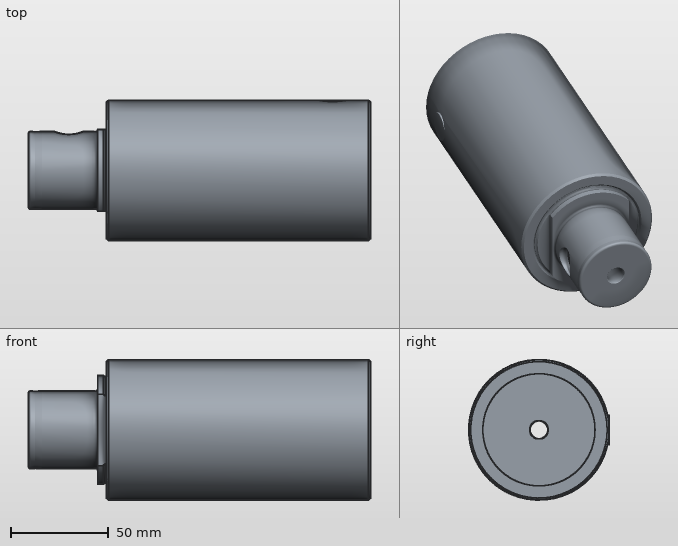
import cadquery as cq
import math

overall_length = 175.0

sleeve_diameter = 72.0
sleeve_radius = sleeve_diameter / 2
sleeve_start = 39.9
sleeve_chamfer = 1.0
bore_chamfer = 1.0

pad_radius = 7.5
pad_x = 155.5

shank_radius = 20.0
shank_round = 1.2
groove_start = shank_round
groove_bottom = 3.3
groove_end = 7.0
groove_depth = 0.2

collar_start = 35.4
collar_radius = 27.8
flat_half_width = 21.0
flat_end = 39.7

shank_relief_length = 1.0
shank_relief_depth = 0.2
shank_relief_round = 1.0
collar_relief_length = 1.0
collar_relief_depth = 0.5
collar_relief_round = 1.4
seat_face = 40.6

bore_radius = collar_radius - collar_relief_depth + collar_relief_round

axial_hole_radius = 4.5
axial_hole_chamfer = 0.4
dimple_radius = 7.5
dimple_x = 20.6
dimple_depth = 4.4


def x_cylinder(radius, start, end):
    """Solid cylinder on the X axis."""
    return cq.Workplane("YZ").workplane(offset=start).circle(radius).extrude(end - start)


def y_cylinder(radius, x, y_start, y_end):
    """Solid cylinder parallel to Y, centred at the given X."""
    plane = cq.Plane(origin=(x, y_start, 0), xDir=(1, 0, 0), normal=(0, 1, 0))
    return cq.Workplane(plane).circle(radius).extrude(y_end - y_start)


def add_undercut(profile, face_x, radius, relief_length, relief_depth, round_radius):
    """Continue a half profile along +X through a relief and a concave round that ends on face_x."""
    round_start = face_x - round_radius
    floor_radius = radius - relief_depth
    diagonal = round_radius * math.sqrt(0.5)
    return (
        profile.lineTo(round_start - relief_length, radius)
        .lineTo(round_start, floor_radius)
        .threePointArc(
            (round_start + diagonal, floor_radius + round_radius - diagonal),
            (face_x, floor_radius + round_radius),
        )
    )


def shaft_blank():
    """Turned shape of the shaft, revolved about X."""
    corner = shank_round * (1 - math.sqrt(0.5))
    profile = (
        cq.Workplane("XY")
        .moveTo(0, 0)
        .lineTo(0, shank_radius - shank_round)
        .threePointArc((corner, shank_radius - corner), (groove_start, shank_radius))
        .lineTo(groove_bottom, shank_radius - groove_depth)
        .lineTo(groove_end, shank_radius)
    )
    profile = add_undercut(
        profile, collar_start, shank_radius, shank_relief_length, shank_relief_depth, shank_relief_round
    )
    profile = profile.lineTo(collar_start, collar_radius)
    profile = add_undercut(
        profile, seat_face, collar_radius, collar_relief_length, collar_relief_depth, collar_relief_round
    )
    profile = profile.lineTo(overall_length, bore_radius)
    return profile.lineTo(overall_length, 0).close().revolve(360, (0, 0, 0), (1, 0, 0))


def wrench_flat(side):
    """Stock removed beside the collar, on the +Y (side = 1) or -Y (side = -1) side."""
    flat_length = flat_end - collar_start
    cut_width = collar_radius - flat_half_width
    return cq.Workplane("XY").box(flat_length, cut_width, 2 * collar_radius).translate(
        (collar_start + flat_length / 2, side * (flat_half_width + cut_width / 2), 0)
    )


def axial_hole():
    """Through hole on the X axis with a countersunk mouth at the shank end."""
    mouth_radius = axial_hole_radius + axial_hole_chamfer
    mouth = cq.Solid.makeCone(
        mouth_radius, axial_hole_radius, axial_hole_chamfer, cq.Vector(0, 0, 0), cq.Vector(1, 0, 0)
    )
    return x_cylinder(axial_hole_radius, 0, overall_length).union(cq.Workplane(mouth))


def make_shaft():
    shaft = shaft_blank()
    for side in (1, -1):
        shaft = shaft.cut(wrench_flat(side))
    shaft = shaft.cut(axial_hole())
    return shaft.cut(y_cylinder(dimple_radius, dimple_x, shank_radius - dimple_depth, shank_radius))


def make_sleeve():
    body = x_cylinder(sleeve_radius, sleeve_start, overall_length).faces("<X or >X").chamfer(sleeve_chamfer)
    pad_root = (bore_radius + sleeve_radius) / 2
    body = body.union(y_cylinder(pad_radius, pad_x, pad_root, sleeve_radius))
    body = body.cut(x_cylinder(bore_radius, sleeve_start, overall_length))
    return body.faces("<X").edges(cq.selectors.RadiusNthSelector(0)).chamfer(bore_chamfer)


shaft = make_shaft()
sleeve = make_sleeve()
result = cq.Compound.makeCompound([shaft.val(), sleeve.val()])